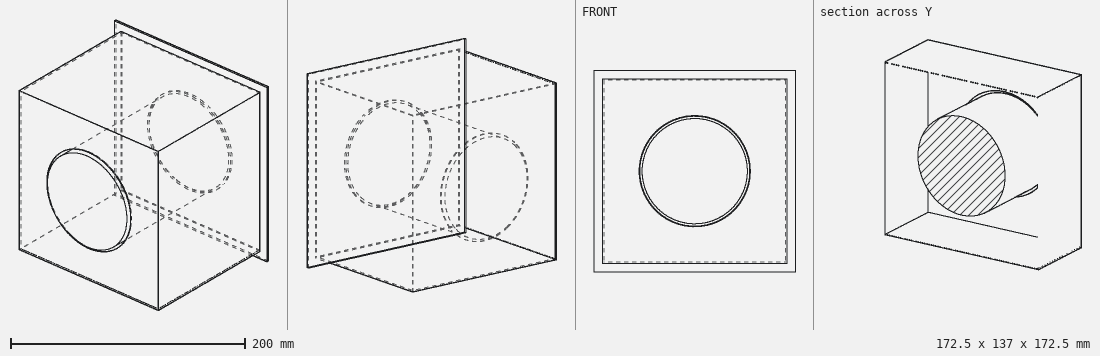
import cadquery as cq

cover_side = 172.5
overall_depth = 137.0

box_side = 157.5
wall = 1.0
opening_diameter = 95.0

cover_thickness = 2.0

lamp_diameter = 90.0
lamp_protrusion = 2.0
foot_diameter = 94.0
foot_thickness = 2.0

lamp_front = -overall_depth / 2
box_front = lamp_front + lamp_protrusion
cavity_front = box_front + wall
cover_back = overall_depth / 2
cover_front = cover_back - cover_thickness
foot_front = cover_front - foot_thickness


def square_block(side, front, back):
    """Square block centred on the Y axis, from y = front to y = back."""
    return cq.Workplane("XZ", origin=(0, front, 0)).rect(side, side).extrude(front - back)


def disc(diameter, front, back):
    """Cylinder on the Y axis, from y = front to y = back."""
    return cq.Workplane("XZ", origin=(0, front, 0)).circle(diameter / 2).extrude(front - back)


def make_housing():
    """Hollow box with a round opening through its front wall."""
    box = square_block(box_side, box_front, cover_front)
    cavity = square_block(box_side - 2 * wall, cavity_front, cover_front)
    opening = disc(opening_diameter, box_front, cavity_front)
    return box.cut(cavity).cut(opening)


def make_cover():
    """Square plate that overhangs the housing on all four sides."""
    return square_block(cover_side, cover_front, cover_back)


def make_lamp():
    """Cylinder with a slightly wider foot, smaller than the opening all round."""
    barrel = disc(lamp_diameter, lamp_front, cover_front)
    foot = disc(foot_diameter, foot_front, cover_front)
    return barrel.union(foot)


housing = make_housing()
cover = make_cover()
lamp = make_lamp()

result = cq.Compound.makeCompound([housing.val(), cover.val(), lamp.val()])